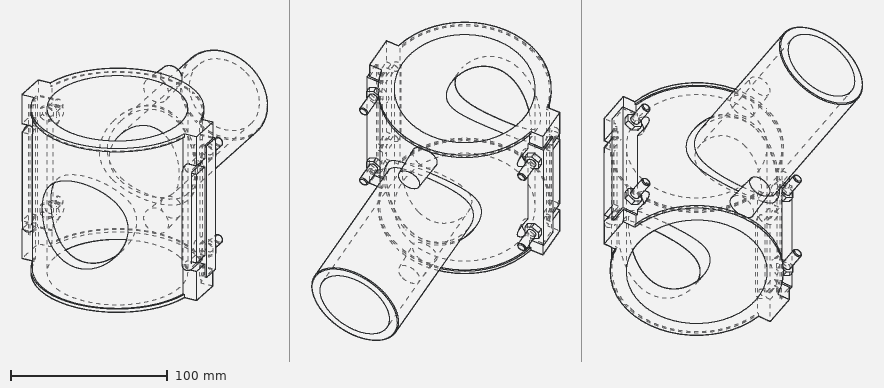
import cadquery as cq
import math

shell_height = 118.0
bore_radius = 44.9
body_radius = 54.2
collar_radius = 55.2
collar_height = 2.5

flange_half_width = 62.8
flange_depth = 11.4

plate_thickness = 1.2
plate_height = 94.6
plate_half_width = flange_half_width + plate_thickness
plate_top = flange_depth + plate_thickness

overall_depth = 203
branch_end = overall_depth - collar_radius
branch_diameter = 63
branch_bore_diameter = 50.4
branch_end_chamfer = 0.6
branch_root = 22.3
bead_diameter = 69.3
bead_crest_radius = 56.3
bead_rounding = 1.0

window_diameter = 61.7

boss_offset = 47.1
boss_end = 74.7
boss_end_radius = 7.7
boss_root_radius = 9.1
boss_root = 49.8

rod_diameter = 6
rod_radius = rod_diameter / 2
bend_radius = 3.2
bolt_x = 57.3
bolt_leg_offset = 35.0
bolt_tip = 30.0
bolt_tip_chamfer = 0.6
nut_across_flats = 10.0
nut_height = 3.7
recess_base_radius = 9.1
recess_top_radius = 6


def y_cylinder(radius, y_start, y_end, x=0, z=0):
    """Cylinder parallel to Y, running from y_start to y_end."""
    axis_start = cq.Vector(x, y_start, z)
    return cq.Workplane(cq.Solid.makeCylinder(radius, y_end - y_start, axis_start, cq.Vector(0, 1, 0)))


def y_cone(start_radius, end_radius, y_start, y_end, x, z):
    """Truncated cone parallel to Y, running from y_start to y_end."""
    axis_start = cq.Vector(x, y_start, z)
    length = y_end - y_start
    return cq.Workplane(cq.Solid.makeCone(start_radius, end_radius, length, axis_start, cq.Vector(0, 1, 0)))


def block(x_range, y_range, height):
    """Box between two X and two Y limits, centred on Z = 0."""
    width = x_range[1] - x_range[0]
    depth = y_range[1] - y_range[0]
    return cq.Workplane().box(width, depth, height, centered=(False, False, True)).translate(
        (x_range[0], y_range[0], 0)
    )


def z_cylinder(radius, height):
    return cq.Workplane().circle(radius).extrude(height).translate((0, 0, -height / 2))


def half_shell(y_range, flange_range):
    """Half of the collared shell with its two flanges; the main bore is still closed."""
    shell = z_cylinder(body_radius, shell_height)
    collar_lift = (shell_height - collar_height) / 2
    for side in (-1, 1):
        shell = shell.union(z_cylinder(collar_radius, collar_height).translate((0, 0, side * collar_lift)))
    half_space = block((-plate_half_width, plate_half_width), y_range, shell_height)
    flanges = block((-flange_half_width, flange_half_width), flange_range, shell_height)
    return shell.intersect(half_space).union(flanges)


def angle_plates():
    """Bar wrapped over the back flanges; its middle is later lost inside the shell wall and the main bore."""
    return block((-plate_half_width, plate_half_width), (0, plate_top), plate_height)


def bead():
    """Saddle-shaped bead with a rounded rim, following the shell around the branch root."""
    crest = z_cylinder(bead_crest_radius, shell_height)
    saddle = crest.intersect(y_cylinder(bead_diameter / 2, branch_root, branch_end))
    return saddle.edges(">Y").fillet(bead_rounding)


def branch_pipe():
    return y_cylinder(branch_diameter / 2, branch_root, branch_end).faces(">Y").chamfer(branch_end_chamfer)


def boss(z):
    return y_cone(boss_root_radius, boss_end_radius, boss_root, boss_end, 0, z)


def nut_recess(x, z):
    """Tapered hollow in the shell wall that gives the nut room to turn."""
    return y_cone(recess_base_radius, recess_top_radius, plate_top, bolt_tip, x, z)


def bolt_leg(x, z):
    return y_cylinder(rod_radius, -flange_depth, bolt_tip, x, z).faces(">Y").chamfer(bolt_tip_chamfer)


def nut(x, z):
    """Hexagonal nut on the plate, with two flats facing along X."""
    across_corners = nut_across_flats / math.cos(math.pi / 6)
    hexagon = cq.Workplane("XZ").polygon(6, across_corners).extrude(-nut_height)
    return hexagon.rotate((0, 0, 0), (0, 1, 0), 30).translate((x, plate_top, z))


def bolt_bend(x, side):
    """Tight quarter bend joining a leg to the bridge rod, turning about the inner corner of the U."""
    leg_end = cq.Workplane("XZ", origin=(x, -flange_depth, side * bolt_leg_offset)).circle(rod_radius)
    return leg_end.revolve(90, (0, -side * bend_radius), (side, -side * bend_radius))


def u_bolt(x):
    bridge_length = 2 * (bolt_leg_offset - bend_radius)
    bolt = z_cylinder(rod_radius, bridge_length).translate((x, -flange_depth - bend_radius, 0))
    for side in (-1, 1):
        bolt = bolt.union(bolt_leg(x, side * bolt_leg_offset))
        bolt = bolt.union(bolt_bend(x, side))
        bolt = bolt.union(nut(x, side * bolt_leg_offset))
    return bolt


def leg_slot(x_side, z):
    """Slot in a front flange, open to the outside, through which a bolt leg swings in."""
    x_range = sorted((x_side * bolt_x, x_side * flange_half_width))
    return block(x_range, (-flange_depth, 0), rod_diameter).translate((0, 0, z))


front_half = half_shell((-collar_radius, 0), (-flange_depth, 0))
front_half = front_half.cut(y_cylinder(window_diameter / 2, -collar_radius, 0))
for x_side in (-1, 1):
    for z in (-bolt_leg_offset, bolt_leg_offset):
        front_half = front_half.cut(leg_slot(x_side, z))

back_half = half_shell((0, collar_radius), (0, flange_depth)).union(angle_plates())
for x in (-bolt_x, bolt_x):
    for z in (-bolt_leg_offset, bolt_leg_offset):
        back_half = back_half.cut(nut_recess(x, z))
back_half = back_half.union(bead()).union(branch_pipe())
for z in (-boss_offset, boss_offset):
    back_half = back_half.union(boss(z))
back_half = back_half.cut(y_cylinder(branch_bore_diameter / 2, 0, branch_end))

main_bore = z_cylinder(bore_radius, shell_height)
result = front_half.cut(main_bore).union(back_half.cut(main_bore), clean=False)
for x in (-bolt_x, bolt_x):
    result = result.union(u_bolt(x), clean=False)